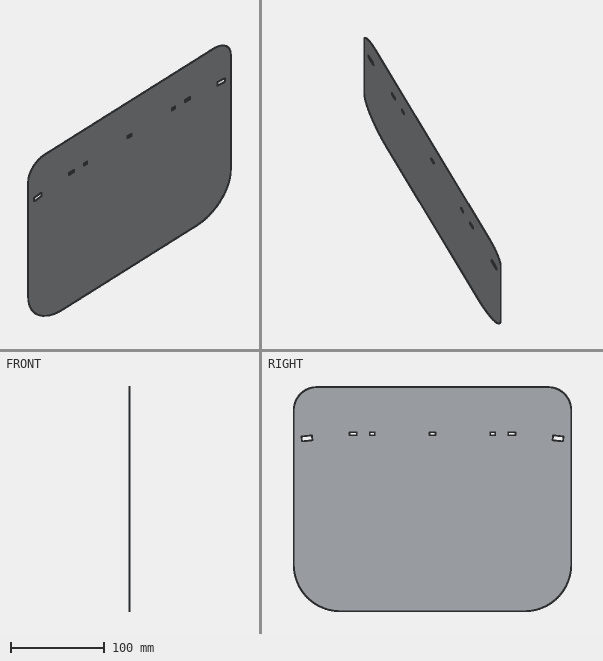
import cadquery as cq

THICKNESS = 0.2
CUTTER_DEPTH = 2 * THICKNESS
WIDTH = 297.0
HEIGHT = 240.0
TOP_RADIUS = 25.0
BOTTOM_RADIUS = 50.0

WINDOW_DROP = 50.0
WINDOW_HEIGHT = 3.0
CENTRE_WINDOW_WIDTH = 6.0
INNER_WINDOW_WIDTH = 5.0
INNER_WINDOW_OFFSET = 64.5
OUTER_WINDOW_WIDTH = 7.5
OUTER_WINDOW_OFFSET = 84.75

SIDE_WINDOW_WIDTH = 11.0
SIDE_WINDOW_HEIGHT = 5.0
SIDE_WINDOW_OFFSET = 134.25
SIDE_WINDOW_DROP = 55.0
SIDE_WINDOW_TILT = 6.0


def make_sheet():
    """Rectangular sheet with small upper and large lower corner rounds."""
    sheet = cq.Workplane("YZ").box(WIDTH, HEIGHT, THICKNESS)
    sheet = sheet.edges("|X and >Z").fillet(TOP_RADIUS)
    return sheet.edges("|X and <Z").fillet(BOTTOM_RADIUS)


def make_window(width, height, offset, drop, tilt=0.0):
    """Cutter for a window at Y = offset, drop below the top edge, tilted about its own centre."""
    cutter = cq.Workplane("YZ").box(width, height, CUTTER_DEPTH)
    cutter = cutter.rotate((0, 0, 0), (1, 0, 0), tilt)
    return cutter.translate((0, offset, HEIGHT / 2 - drop))


def cut_windows(sheet):
    """Cut the centre window and the three mirrored pairs."""
    sheet = sheet.cut(make_window(CENTRE_WINDOW_WIDTH, WINDOW_HEIGHT, 0, WINDOW_DROP))
    for side in (-1, 1):
        inner = make_window(INNER_WINDOW_WIDTH, WINDOW_HEIGHT, side * INNER_WINDOW_OFFSET, WINDOW_DROP)
        outer = make_window(OUTER_WINDOW_WIDTH, WINDOW_HEIGHT, side * OUTER_WINDOW_OFFSET, WINDOW_DROP)
        tilted = make_window(
            SIDE_WINDOW_WIDTH,
            SIDE_WINDOW_HEIGHT,
            side * SIDE_WINDOW_OFFSET,
            SIDE_WINDOW_DROP,
            -side * SIDE_WINDOW_TILT,
        )
        sheet = sheet.cut(inner).cut(outer).cut(tilted)
    return sheet


result = cut_windows(make_sheet())